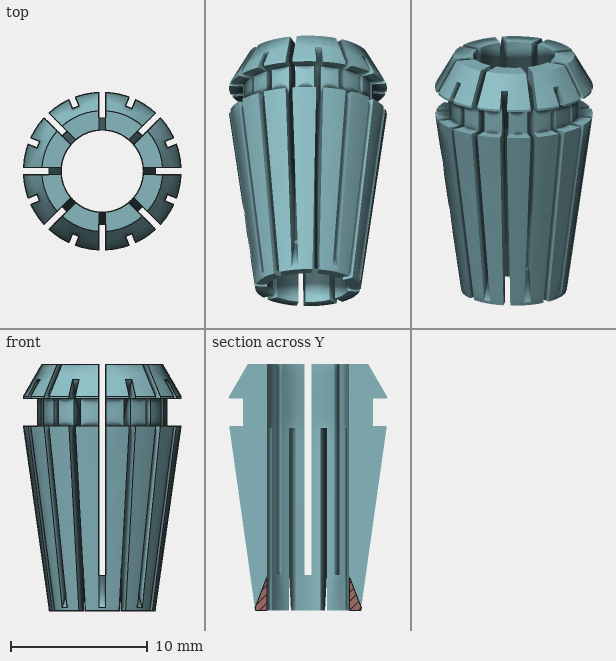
import cadquery as cq
import math


total_height = 18.0
body_height = 13.5
neck_height = 2.0
rim_height = 0.16

bore_diameter = 6.0
outer_radius = 5.76
neck_radius = 4.75
body_taper = 8.0
head_taper = 30.0

slots_per_set = 8
slot_width = 0.5
slot_pitch = 360.0 / slots_per_set
top_slot_outer_end = 0.23
top_slot_inner_end = 2.6
bottom_slot_outer_end = 16.88
bottom_slot_end_angle = 30.0

bore_radius = bore_diameter / 2
head_bottom = body_height + neck_height
rim_top = head_bottom + rim_height
body_slope = math.tan(math.radians(body_taper))
head_slope = math.tan(math.radians(head_taper))
bottom_radius = outer_radius - body_height * body_slope
top_radius = outer_radius - (total_height - rim_top) * head_slope
cut_margin = 0.9
cut_radius = outer_radius + cut_margin
cut_top = total_height + cut_margin
cut_bottom = -cut_margin


def revolve_profile(points):
    """Turn a closed (radius, height) outline about the Z axis."""
    return cq.Workplane("XZ").polyline(points).close().revolve(360, (0, 0, 0), (0, 1, 0))


def make_blank():
    """Bored collet with tapered body, neck groove and tapered head."""
    return revolve_profile([
        (bore_radius, 0),
        (bottom_radius, 0),
        (outer_radius, body_height),
        (neck_radius, body_height),
        (neck_radius, head_bottom),
        (outer_radius, head_bottom),
        (outer_radius, rim_top),
        (top_radius, total_height),
        (bore_radius, total_height),
    ])


def make_slots(end_radius, end_height, end_slope, open_height, first_angle):
    """Radial slots closed by a cone through the end point and open at open_height."""
    def cone_height(radius):
        return end_height + (radius - end_radius) / end_slope

    slot_zone = revolve_profile([
        (0, cone_height(bore_radius)),
        (bore_radius, cone_height(bore_radius)),
        (end_radius, end_height),
        (cut_radius, end_height),
        (cut_radius, open_height),
        (0, open_height),
    ])
    slabs = cq.Workplane("XY")
    for index in range(slots_per_set // 2):
        slab = cq.Workplane("XY").box(2 * cut_radius, slot_width, 2 * cut_top)
        slabs = slabs.add(slab.rotate((0, 0, 0), (0, 0, 1), first_angle + index * slot_pitch))
    return slabs.combine().intersect(slot_zone)


top_slot_end_radius = bottom_radius + top_slot_outer_end * body_slope
top_slot_end_slope = (bore_radius - top_slot_end_radius) / (top_slot_inner_end - top_slot_outer_end)
top_slots = make_slots(
    top_slot_end_radius, top_slot_outer_end, top_slot_end_slope, cut_top, 0
)

bottom_slot_end_radius = top_radius + (total_height - bottom_slot_outer_end) * head_slope
bottom_slot_end_slope = math.tan(math.radians(bottom_slot_end_angle))
bottom_slots = make_slots(
    bottom_slot_end_radius, bottom_slot_outer_end, bottom_slot_end_slope, cut_bottom, slot_pitch / 2
)

result = make_blank().cut(top_slots).cut(bottom_slots)